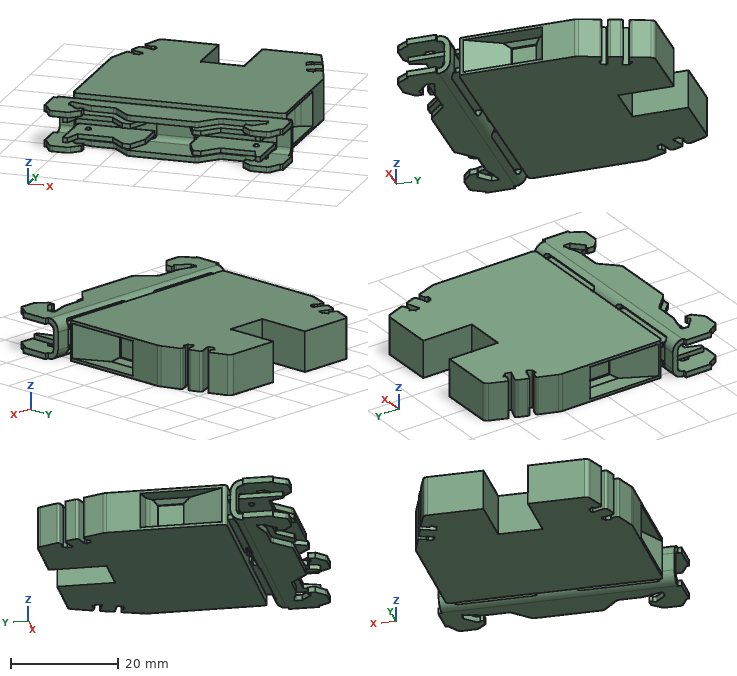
import cadquery as cq
import math


LENGTH = 48.75
THICKNESS = 8.0
HALF_THICKNESS = THICKNESS / 2

HOUSING_HALF_WIDTH = 20.9
HOUSING_BOTTOM = 11.85
HOUSING_CORNER_RADIUS = 0.8
SHOULDER_BOTTOM = 34.68
TOP_NOTCH_HALF_WIDTH = 4.3
TOP_NOTCH_FLOOR = 37.75

POCKET_HALF_HEIGHT = 3.4
POCKET_BOTTOM = 12.75
POCKET_TOP = 28.3
POCKET_FUNNEL_DEPTH = 3.55
POCKET_BEND_START = (2.15, 27.7)
POCKET_BEND_END = (3.1, 27.05)
WINDOW_BOTTOM = 20.82
WINDOW_TOP = 25.75
WINDOW_HALF_HEIGHT = 2.5
WINDOW_EDGE_DEPTH = 4.3
WINDOW_FLOOR_DEPTH = 4.7

SHEET = 1.1
BEND_RADIUS = 2 * SHEET
WEB_TOP = 10.8
WEB_HALF_LENGTH = 22.78
LUG_HALF_LENGTH = 23.5
LUG_TOP = 8.25
LUG_BOTTOM = 2.55
HOOK_THROAT_X = 19.45
HOOK_TIP_X = 15.95
HOOK_TIP_TOP = 3.25
PLATE_RAIL_EDGE = 5.3
PLATE_BOTTOM = 1.8
BEND_CENTRE_Y = WEB_TOP - BEND_RADIUS
BEND_CENTRE_Z = HALF_THICKNESS - BEND_RADIUS

SLOT_INNER_END = 3.7
SLOT_OUTER_END = 19.95
SLOT_END_ANGLE = 50.0
SLOT_CUT_RADIUS = BEND_RADIUS + SHEET
SLOT_CORNER_RADIUS = 0.8

LATCH_INNER_Z = 1.5
LATCH_THICKNESS = 0.95
LATCH_BOTTOM = 1.4
LATCH_STEP = 4.4
LATCH_INNER_X = 4.45
LATCH_OUTER_X = 19.45
LATCH_SHOULDER_X = 2.3
LATCH_SHOULDER_Y = 11.35
LATCH_CORNER_RADIUS = 0.35
DIMPLE_X = 16.55
DIMPLE_Y = 7.85
DIMPLE_BASE_RADIUS = 0.55
DIMPLE_TIP_RADIUS = 0.25
DIMPLE_HEIGHT = 0.35

STEM_RADIUS = 2.0
STEM_FLARE_RADIUS = 2.4
STEM_FLARE_Y = 11.3


def with_mirror(half, plane):
    """Join a solid with its mirror image."""
    return half.union(half.mirror(plane))


def housing_half():
    """Right half of the housing, with the two latch notches in its slanted shoulder."""
    return (
        cq.Workplane("XY")
        .workplane(offset=-HALF_THICKNESS)
        .moveTo(0, HOUSING_BOTTOM)
        .lineTo(HOUSING_HALF_WIDTH - HOUSING_CORNER_RADIUS, HOUSING_BOTTOM)
        .radiusArc((HOUSING_HALF_WIDTH, HOUSING_BOTTOM + HOUSING_CORNER_RADIUS), -HOUSING_CORNER_RADIUS)
        .lineTo(HOUSING_HALF_WIDTH, SHOULDER_BOTTOM)
        .tangentArcPoint((20.8, 35.4), relative=False)
        .lineTo(19.4, 39.1)
        .tangentArcPoint((18.95, 39.35), relative=False)
        .lineTo(17.85, 39.0)
        .lineTo(17.65, 38.45)
        .lineTo(16.7, 38.5)
        .lineTo(16.15, 39.3)
        .lineTo(16.3, 39.65)
        .lineTo(18.45, 40.4)
        .tangentArcPoint((18.8, 41.05), relative=False)
        .lineTo(18.15, 42.8)
        .tangentArcPoint((17.55, 43.15), relative=False)
        .lineTo(15.05, 42.2)
        .lineTo(14.75, 43.3)
        .lineTo(15.4, 44.2)
        .lineTo(16.05, 43.85)
        .lineTo(17.1, 44.25)
        .tangentArcPoint((17.4, 44.75), relative=False)
        .lineTo(16.1, 48.15)
        .tangentArcPoint((15.15, LENGTH), relative=False)
        .lineTo(TOP_NOTCH_HALF_WIDTH, LENGTH)
        .lineTo(TOP_NOTCH_HALF_WIDTH, TOP_NOTCH_FLOOR)
        .lineTo(0, TOP_NOTCH_FLOOR)
        .close()
        .extrude(THICKNESS)
    )


def pocket_cutter():
    """Right-side pocket: straight sides outside, a four-sided funnel, then a shallow window."""
    mouth = HOUSING_HALF_WIDTH
    window_edge = mouth - WINDOW_EDGE_DEPTH
    profile = (
        cq.Workplane("XY")
        .workplane(offset=-POCKET_HALF_HEIGHT)
        .moveTo(mouth, POCKET_BOTTOM)
        .lineTo(window_edge, WINDOW_BOTTOM)
        .lineTo(window_edge, WINDOW_TOP)
        .lineTo(mouth - POCKET_BEND_END[0], POCKET_BEND_END[1])
        .tangentArcPoint((mouth - POCKET_BEND_START[0], POCKET_BEND_START[1]), relative=False)
        .lineTo(mouth, POCKET_TOP)
        .close()
        .extrude(2 * POCKET_HALF_HEIGHT)
    )
    funnel_limit = (
        cq.Workplane("XZ")
        .workplane(offset=-LENGTH)
        .polyline([
            (mouth, -POCKET_HALF_HEIGHT),
            (mouth, POCKET_HALF_HEIGHT),
            (mouth - POCKET_FUNNEL_DEPTH, POCKET_HALF_HEIGHT),
            (window_edge, WINDOW_HALF_HEIGHT),
            (window_edge, -WINDOW_HALF_HEIGHT),
            (mouth - POCKET_FUNNEL_DEPTH, -POCKET_HALF_HEIGHT),
        ])
        .close()
        .extrude(LENGTH)
    )
    window = cq.Workplane("XY").box(
        WINDOW_FLOOR_DEPTH - WINDOW_EDGE_DEPTH,
        WINDOW_TOP - WINDOW_BOTTOM,
        2 * WINDOW_HALF_HEIGHT,
        centered=(False, False, True),
    ).translate((mouth - WINDOW_FLOOR_DEPTH, WINDOW_BOTTOM, 0))
    return profile.intersect(funnel_limit).union(window)


def foot_channel():
    """Bent sheet channel, open toward -Y, that carries the hook plates."""
    depth = WEB_TOP - LUG_TOP
    outer = (
        cq.Workplane("XY")
        .box(2 * WEB_HALF_LENGTH, depth, THICKNESS, centered=(True, False, True))
        .translate((0, LUG_TOP, 0))
        .edges("|X and >Y")
        .fillet(BEND_RADIUS)
    )
    inner = (
        cq.Workplane("XY")
        .box(2 * WEB_HALF_LENGTH, depth - SHEET, THICKNESS - 2 * SHEET, centered=(True, False, True))
        .translate((0, LUG_TOP, 0))
        .edges("|X and >Y")
        .fillet(BEND_RADIUS - SHEET)
    )
    return outer.cut(inner)


def web_slot_cutter():
    """Right web slot; its long sides lie on radial planes of the channel bends."""
    angle = math.radians(SLOT_END_ANGLE)
    flare_y = BEND_CENTRE_Y + SLOT_CUT_RADIUS * math.cos(angle)
    flare_z = BEND_CENTRE_Z + SLOT_CUT_RADIUS * math.sin(angle)
    return (
        cq.Workplane("YZ")
        .workplane(offset=SLOT_INNER_END)
        .polyline([
            (BEND_CENTRE_Y, -BEND_CENTRE_Z),
            (flare_y, -flare_z),
            (flare_y, flare_z),
            (BEND_CENTRE_Y, BEND_CENTRE_Z),
        ])
        .close()
        .extrude(SLOT_OUTER_END - SLOT_INNER_END)
        .edges("not(|X or |Y or |Z)")
        .fillet(SLOT_CORNER_RADIUS)
    )


def hook_plate_half():
    """Right half of the upper foot plate, with the hook that grips the rail edge."""
    return (
        cq.Workplane("XY")
        .workplane(offset=HALF_THICKNESS - SHEET)
        .moveTo(0, BEND_CENTRE_Y)
        .lineTo(WEB_HALF_LENGTH, BEND_CENTRE_Y)
        .lineTo(WEB_HALF_LENGTH, LUG_TOP)
        .lineTo(LUG_HALF_LENGTH, LUG_TOP)
        .lineTo(LUG_HALF_LENGTH, LUG_BOTTOM)
        .lineTo(23.0, LUG_BOTTOM)
        .lineTo(21.8, 0.45)
        .tangentArcPoint((21.05, 0), relative=False)
        .lineTo(18.4, 0)
        .tangentArcPoint((17.6, 0.3), relative=False)
        .lineTo(HOOK_TIP_X, PLATE_BOTTOM)
        .lineTo(HOOK_TIP_X, HOOK_TIP_TOP)
        .lineTo(16.65, HOOK_TIP_TOP)
        .threePointArc((16.95, 2.95), (17.4, 3.0))
        .lineTo(HOOK_THROAT_X, 4.97)
        .lineTo(HOOK_THROAT_X, 6.15)
        .threePointArc((19.3, 6.4), (19.0, 6.45))
        .lineTo(15.15, PLATE_RAIL_EDGE)
        .lineTo(10.8, PLATE_RAIL_EDGE)
        .tangentArcPoint((10.05, 5.0), relative=False)
        .lineTo(7.1, 2.1)
        .tangentArcPoint((6.4, PLATE_BOTTOM), relative=False)
        .lineTo(0, PLATE_BOTTOM)
        .close()
        .extrude(SHEET)
    )


def latch_plate():
    """Upper right latch plate, hanging from the housing through the web slot."""
    plate = (
        cq.Workplane("XY")
        .workplane(offset=LATCH_INNER_Z)
        .moveTo(LATCH_SHOULDER_X, HOUSING_BOTTOM)
        .lineTo(LATCH_SHOULDER_X, LATCH_SHOULDER_Y)
        .lineTo(LATCH_INNER_X - LATCH_CORNER_RADIUS, LATCH_SHOULDER_Y)
        .radiusArc((LATCH_INNER_X, LATCH_SHOULDER_Y - LATCH_CORNER_RADIUS), LATCH_CORNER_RADIUS)
        .lineTo(LATCH_INNER_X, 5.1)
        .lineTo(6.15, LATCH_BOTTOM)
        .lineTo(7.7, LATCH_BOTTOM)
        .lineTo(10.65, LATCH_STEP)
        .lineTo(17.45, LATCH_STEP)
        .lineTo(18.55, LATCH_BOTTOM)
        .lineTo(LATCH_OUTER_X, LATCH_BOTTOM)
        .lineTo(LATCH_OUTER_X, HOUSING_BOTTOM)
        .close()
        .extrude(LATCH_THICKNESS)
    )
    dimple = cq.Workplane(cq.Solid.makeCone(
        DIMPLE_BASE_RADIUS,
        DIMPLE_TIP_RADIUS,
        DIMPLE_HEIGHT,
        cq.Vector(DIMPLE_X, DIMPLE_Y, LATCH_INNER_Z),
        cq.Vector(0, 0, -1),
    ))
    return plate.union(dimple)


def stem():
    """Round stem with a flared end seated on the web."""
    return (
        cq.Workplane("XY")
        .moveTo(0, HOUSING_BOTTOM)
        .lineTo(STEM_RADIUS, HOUSING_BOTTOM)
        .lineTo(STEM_RADIUS, STEM_FLARE_Y)
        .lineTo(STEM_FLARE_RADIUS, WEB_TOP)
        .lineTo(0, WEB_TOP)
        .close()
        .revolve(360, (0, 0), (0, 1))
    )


housing = with_mirror(housing_half().cut(pocket_cutter()), "YZ")
hook_plates = with_mirror(with_mirror(hook_plate_half(), "YZ"), "XY")
web_slots = with_mirror(web_slot_cutter(), "YZ")
foot = foot_channel().union(hook_plates).cut(web_slots)
latch_plates = with_mirror(with_mirror(latch_plate(), "YZ"), "XY")

result = housing.union(stem()).union(foot).union(latch_plates)